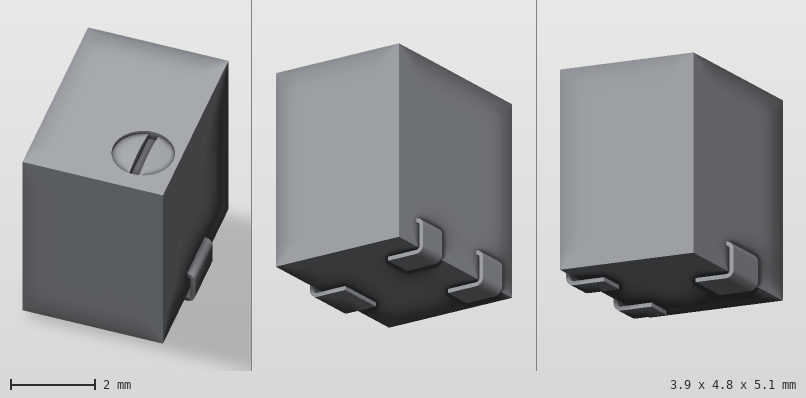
import cadquery as cq

overall_width = 3.9
body_length = 4.8
overall_height = 5.1

lead_offset = 0.2
lead_thickness = 0.1
lead_height = 0.9
foot_length = 1.0
narrow_lead_width = 0.8
narrow_lead_spacing = 2.54
wide_lead_width = 1.3

screw_x = 0.85
screw_y = -1.2
screw_diameter = 1.5
rim_depth = 0.1
slot_width = 0.25
slot_depth = 0.25

body_width = overall_width - 2 * lead_offset
body_height = overall_height - lead_offset
screw_radius = screw_diameter / 2


def make_body():
    """Plain housing, raised above the feet of the leads."""
    return (
        cq.Workplane("XY")
        .workplane(offset=lead_offset)
        .rect(body_width, body_length)
        .extrude(body_height)
    )


def make_lead(width, y_center):
    """C-shaped lead on the -X side: a strip bent down the wall and under the body."""
    outer_x = -overall_width / 2
    wall_x = -body_width / 2
    foot_x = outer_x + foot_length
    inner_radius = lead_offset - lead_thickness
    profile = (
        cq.Workplane("XZ", origin=(0, y_center, 0))
        .moveTo(wall_x, lead_height)
        .radiusArc((outer_x, lead_height - lead_offset), -lead_offset)
        .lineTo(outer_x, lead_offset)
        .radiusArc((wall_x, 0), -lead_offset)
        .lineTo(foot_x, 0)
        .lineTo(foot_x, lead_thickness)
        .lineTo(wall_x, lead_thickness)
        .radiusArc((outer_x + lead_thickness, lead_offset), inner_radius)
        .lineTo(outer_x + lead_thickness, lead_height - lead_offset)
        .radiusArc((wall_x, lead_height - lead_thickness), inner_radius)
        .close()
    )
    return profile.extrude(width / 2, both=True)


def make_screw_recess():
    """Space above the domed screw head, whose crown is level with the top face."""
    dome_edge = -rim_depth
    dome_radius = (screw_radius**2 + rim_depth**2) / (2 * rim_depth)
    above_dome = (
        cq.Workplane("XZ")
        .moveTo(0, 0)
        .lineTo(screw_radius, 0)
        .lineTo(screw_radius, dome_edge)
        .radiusArc((0, 0), -dome_radius)
        .close()
        .revolve(360, (0, 0), (0, 1))
    )
    slot_bounds = cq.Workplane("XY").circle(screw_radius).extrude(-slot_depth)
    slot = (
        cq.Workplane("XY")
        .rect(slot_width, screw_diameter)
        .extrude(-slot_depth)
        .intersect(slot_bounds)
    )
    return above_dome.union(slot).translate((screw_x, screw_y, overall_height))


result = make_body().cut(make_screw_recess())

for side in (-1, 1):
    result = result.union(make_lead(narrow_lead_width, side * narrow_lead_spacing / 2))

wide_lead = make_lead(wide_lead_width, 0).mirror("YZ")
result = result.union(wide_lead)